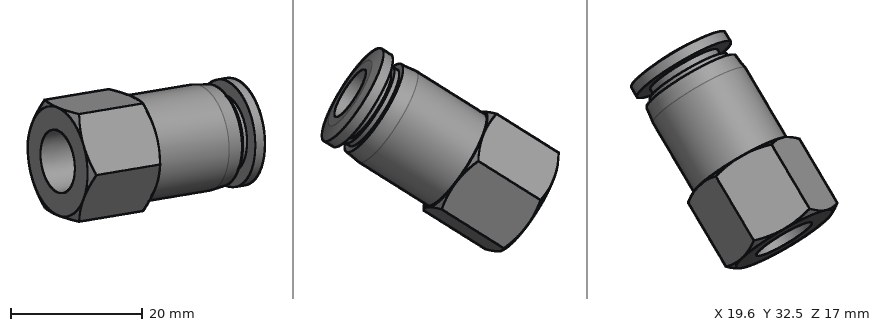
import cadquery as cq
import math

total_length = 32.55

hex_length = 13.02
across_flats = 17.0
across_corners = across_flats / math.cos(math.radians(30))
chamfer_angle = 30.0

body_radius = 8.2
shoulder_start = 25.68
shoulder_end = 28.2
shoulder_radius = 7.88

step_radius = 6.85
step_end = 29.07
neck_radius = 5.95
collar_start = 30.35
collar_radius = 8.3
collar_rim_end = 32.1
collar_face_radius = 5.85

bore_radius = 4.23
entry_radius = 4.88
entry_inner_radius = 4.55
entry_depth = 10.4


def revolve_about_y(profile):
    """Revolve (radius, Y) points, closed in order, about the Y axis."""
    return cq.Workplane("XY").polyline(profile).close().revolve(360, (0, 0, 0), (0, 1, 0))


def hex_end():
    """Hexagonal prism with its corners chamfered conically at both ends."""
    prism = cq.Workplane("XZ").polygon(6, across_corners).extrude(-hex_length)
    flat_radius = across_flats / 2
    corner_radius = across_corners / 2
    chamfer_height = (corner_radius - flat_radius) * math.tan(math.radians(chamfer_angle))
    envelope = revolve_about_y([
        (0, 0),
        (flat_radius, 0),
        (corner_radius, chamfer_height),
        (corner_radius, hex_length - chamfer_height),
        (flat_radius, hex_length),
        (0, hex_length),
    ])
    return prism.intersect(envelope)


def body_and_collar():
    """Round body, shoulder, step, neck and release collar."""
    return revolve_about_y([
        (0, hex_length),
        (body_radius, hex_length),
        (body_radius, shoulder_start),
        (shoulder_radius, shoulder_end),
        (step_radius, shoulder_end),
        (step_radius, step_end),
        (neck_radius, step_end),
        (neck_radius, collar_start),
        (collar_radius, collar_start),
        (collar_radius, collar_rim_end),
        (collar_face_radius, total_length),
        (0, total_length),
    ])


def bore():
    """Tapered entry from the hexagonal end and the through hole behind it."""
    return revolve_about_y([
        (0, 0),
        (entry_radius, 0),
        (entry_inner_radius, entry_depth),
        (bore_radius, entry_depth),
        (bore_radius, total_length),
        (0, total_length),
    ])


result = hex_end().union(body_and_collar()).cut(bore())